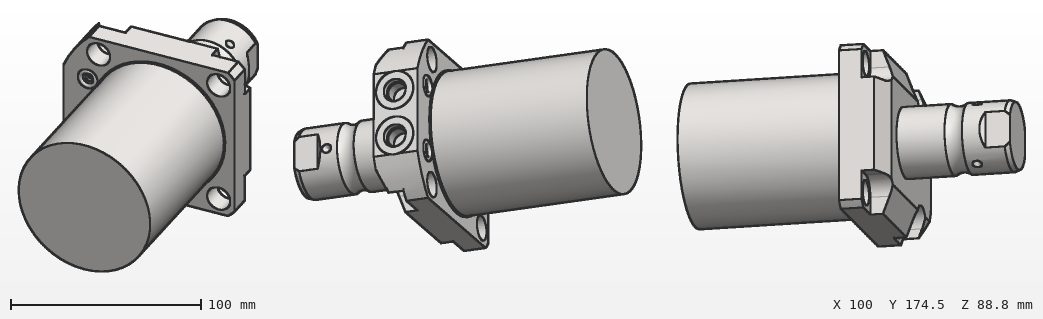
import cadquery as cq
import math

TOTAL_LENGTH = 174.5
ROD_LENGTH = 60.7
FLANGE_THICKNESS = 24.8
BARREL_LENGTH = TOTAL_LENGTH - ROD_LENGTH - FLANGE_THICKNESS
ROD_TIP_Y = FLANGE_THICKNESS + ROD_LENGTH

FLANGE_WIDTH = 100.0
FLANGE_HEIGHT = 88.8
FLANGE_TRIM_RADIUS = 60.2
FLANGE_RIGHT_X = FLANGE_HEIGHT / 2
FLANGE_LEFT_X = FLANGE_RIGHT_X - FLANGE_WIDTH
BEVEL_SETBACK = 15.0
BEVEL_DEPTH = 5.8

MOUNT_OFFSET = 35.0
MOUNT_HOLE_DIAMETER = 13.5
POCKET_RADIUS = 9.8
POCKET_DEPTH = 12.5

BARREL_DIAMETER = 77.0
COLLAR_DIAMETER = 78.0
COLLAR_HEIGHT = 0.7

ROD_RADIUS = 19.0
TIP_CHAMFER_LENGTH = 2.8
TIP_CHAMFER_RADIAL = 1.0
GROOVE_START = 25.3
GROOVE_WIDTH = 9.5
GROOVE_DEPTH = 1.5
FLAT_LENGTH = 13.3
FLATS_WIDTH = 32.8
SPANNER_DIMPLE_DIAMETER = 5.0
SPANNER_DIMPLE_SETBACK = 19.4
SPANNER_DIMPLE_DEPTH = SPANNER_DIMPLE_DIAMETER / 2
SPANNER_DIMPLE_ANGLES = (60, 180, 300)

PORT_Y = 13.0
PORT_OFFSET_Z = 12.7
SPOTFACE_DIAMETER = 21.1
SPOTFACE_DEPTH = 0.2
PORT_MOUTH_DIAMETER = 12.4
PORT_NECK_DIAMETER = 11.3
PORT_NECK_DEPTH = 3.3
PORT_BORE_DIAMETER = 10.5
PORT_BORE_START = 4.0
PORT_DEPTH = 12.2

SEAL_X = FLANGE_LEFT_X + 14.1
SEAL_OFFSET_Z = 18.2
SEAL_SECTION_RADIUS = 1.31
SEAL_PROUD = 0.9
SEAL_RECESS_RADIUS = 5.8
SEAL_RECESS_DEPTH = 2 * SEAL_SECTION_RADIUS - SEAL_PROUD
PASSAGE_MOUTH_DIAMETER = 4.2
PASSAGE_DIAMETER = 2.1
PASSAGE_COUNTERSINK_DEPTH = (PASSAGE_MOUTH_DIAMETER - PASSAGE_DIAMETER) / 2
PASSAGE_DEPTH = 8.7


def cylinder_y(radius, start_y, end_y, x=0.0, z=0.0):
    """Cylinder along Y between two Y positions."""
    direction = cq.Vector(0, math.copysign(1, end_y - start_y), 0)
    solid = cq.Solid.makeCylinder(radius, abs(end_y - start_y), cq.Vector(x, start_y, z), direction)
    return cq.Workplane(obj=solid)


def box_between(corner, opposite):
    """Box spanned by two opposite corners."""
    size = [abs(b - a) for a, b in zip(corner, opposite)]
    middle = tuple((a + b) / 2 for a, b in zip(corner, opposite))
    return cq.Workplane("XY").box(*size).translate(middle)


def make_flange():
    half_height = FLANGE_HEIGHT / 2
    flange = box_between((FLANGE_LEFT_X, 0, -half_height), (FLANGE_RIGHT_X, FLANGE_THICKNESS, half_height))
    flange = flange.intersect(cylinder_y(FLANGE_TRIM_RADIUS, 0, FLANGE_THICKNESS))

    bevel_start = half_height - BEVEL_SETBACK
    bevel_y = FLANGE_THICKNESS - BEVEL_DEPTH
    bevel = (
        cq.Workplane("XY")
        .polyline([(half_height, bevel_y), (half_height, FLANGE_THICKNESS), (bevel_start, FLANGE_THICKNESS)])
        .close()
        .extrude(FLANGE_WIDTH, both=True)
    )
    for angle in (-90, 0, 90):
        flange = flange.cut(bevel.rotate((0, 0, 0), (0, 1, 0), angle))

    floor_y = FLANGE_THICKNESS - POCKET_DEPTH
    for x in (-MOUNT_OFFSET, MOUNT_OFFSET):
        inner_x = x - POCKET_RADIUS
        outer_x = x + POCKET_RADIUS
        for side in (-1, 1):
            z = side * MOUNT_OFFSET
            edge_z = side * FLANGE_HEIGHT
            flange = flange.cut(cylinder_y(MOUNT_HOLE_DIAMETER / 2, 0, FLANGE_THICKNESS, x, z))
            flange = flange.cut(cylinder_y(POCKET_RADIUS, floor_y, FLANGE_THICKNESS, x, z))
            flange = flange.cut(box_between((inner_x, floor_y, z), (outer_x, FLANGE_THICKNESS, edge_z)))
            if x > 0:
                inner_z = z - side * POCKET_RADIUS
                corner = (FLANGE_WIDTH, FLANGE_THICKNESS, edge_z)
                flange = flange.cut(box_between((x, floor_y, inner_z), corner))
    return flange


def make_barrel():
    barrel = cylinder_y(BARREL_DIAMETER / 2, 0, -BARREL_LENGTH)
    return barrel.union(cylinder_y(COLLAR_DIAMETER / 2, 0, -COLLAR_HEIGHT))


def make_rod():
    groove_front_y = ROD_TIP_Y - GROOVE_START
    groove_middle_y = groove_front_y - GROOVE_WIDTH / 2
    groove_back_y = groove_front_y - GROOVE_WIDTH
    rod = (
        cq.Workplane("XY")
        .lineTo(ROD_RADIUS, 0)
        .lineTo(ROD_RADIUS, groove_back_y)
        .threePointArc((ROD_RADIUS - GROOVE_DEPTH, groove_middle_y), (ROD_RADIUS, groove_front_y))
        .lineTo(ROD_RADIUS, ROD_TIP_Y - TIP_CHAMFER_LENGTH)
        .lineTo(ROD_RADIUS - TIP_CHAMFER_RADIAL, ROD_TIP_Y)
        .lineTo(0, ROD_TIP_Y)
        .close()
        .revolve(360, (0, 0, 0), (0, 1, 0))
    )

    half_width = FLATS_WIDTH / 2
    ramp = ROD_RADIUS - half_width
    flat_end_y = ROD_TIP_Y - FLAT_LENGTH
    flat = (
        cq.Workplane("XY")
        .polyline([
            (half_width, ROD_TIP_Y),
            (half_width, flat_end_y),
            (half_width + ramp, flat_end_y - ramp),
            (half_width + ramp, ROD_TIP_Y),
        ])
        .close()
        .extrude(ROD_RADIUS, both=True)
    )
    for angle in (0, 180):
        rod = rod.cut(flat.rotate((0, 0, 0), (0, 1, 0), angle))

    for angle in SPANNER_DIMPLE_ANGLES:
        outward = cq.Vector(math.cos(math.radians(angle)), 0, math.sin(math.radians(angle)))
        mouth = outward * ROD_RADIUS + cq.Vector(0, ROD_TIP_Y - SPANNER_DIMPLE_SETBACK, 0)
        dimple = cq.Solid.makeCone(SPANNER_DIMPLE_DIAMETER / 2, 0, SPANNER_DIMPLE_DEPTH, mouth, outward * -1)
        rod = rod.cut(cq.Workplane(obj=dimple))
    return rod


def make_port(z):
    """Space of a side port: spotface, tapered mouth, conical step and flat-bottomed bore."""
    mouth_radius = PORT_MOUTH_DIAMETER / 2
    neck_radius = PORT_NECK_DIAMETER / 2
    bore_radius = PORT_BORE_DIAMETER / 2
    return (
        cq.Workplane("XY")
        .lineTo(0, SPOTFACE_DIAMETER / 2)
        .lineTo(SPOTFACE_DEPTH, SPOTFACE_DIAMETER / 2)
        .lineTo(SPOTFACE_DEPTH, mouth_radius)
        .lineTo(PORT_NECK_DEPTH, neck_radius)
        .lineTo(PORT_BORE_START, bore_radius)
        .lineTo(PORT_DEPTH, bore_radius)
        .lineTo(PORT_DEPTH, 0)
        .close()
        .revolve(360, (0, 0, 0), (1, 0, 0))
        .translate((FLANGE_LEFT_X, PORT_Y, z))
    )


def make_seal_seat(z):
    """Space of a seal recess and of the countersunk oil passage in its floor."""
    passage_radius = PASSAGE_DIAMETER / 2
    return (
        cq.Workplane("XY")
        .lineTo(SEAL_RECESS_RADIUS, 0)
        .lineTo(SEAL_RECESS_RADIUS, SEAL_RECESS_DEPTH)
        .lineTo(PASSAGE_MOUTH_DIAMETER / 2, SEAL_RECESS_DEPTH)
        .lineTo(passage_radius, SEAL_RECESS_DEPTH + PASSAGE_COUNTERSINK_DEPTH)
        .lineTo(passage_radius, PASSAGE_DEPTH)
        .lineTo(0, PASSAGE_DEPTH)
        .close()
        .revolve(360, (0, 0, 0), (0, 1, 0))
        .translate((SEAL_X, 0, z))
    )


def make_housing():
    housing = make_flange().union(make_barrel()).union(make_rod())
    for side in (-1, 1):
        housing = housing.cut(make_port(side * PORT_OFFSET_Z))
        housing = housing.cut(make_seal_seat(side * SEAL_OFFSET_Z))
    return housing


def make_seal(z):
    """O-ring resting on the floor of its recess and standing slightly proud of the flange."""
    centre_y = SEAL_RECESS_DEPTH - SEAL_SECTION_RADIUS
    ring_radius = SEAL_RECESS_RADIUS - SEAL_SECTION_RADIUS
    return cq.Solid.makeTorus(
        ring_radius, SEAL_SECTION_RADIUS, cq.Vector(SEAL_X, centre_y, z), cq.Vector(0, 1, 0)
    )


housing = make_housing()
seals = [make_seal(side * SEAL_OFFSET_Z) for side in (-1, 1)]

result = cq.Compound.makeCompound([housing.val(), *seals])